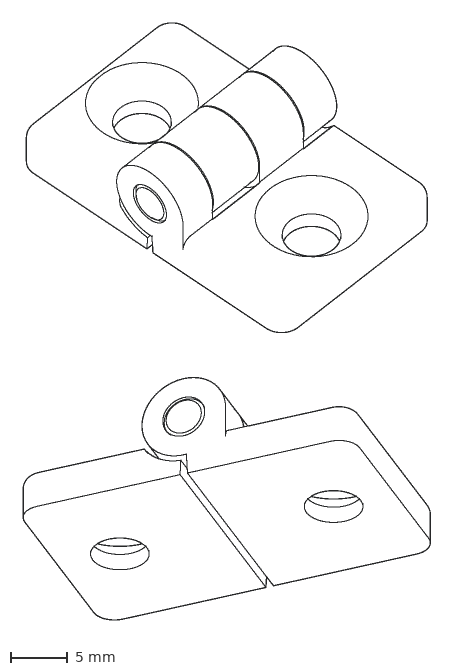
import cadquery as cq
import math

length = 32.0
width = 20.0
plate_height = 4.0
corner_radius = 2.0
top_fillet = 1.0

barrel_radius = 4.0
axis_height = 1.5 * barrel_radius
clearance_radius = 4.5
pin_radius = barrel_radius / 2
pin_chamfer = 0.32

slit_half_bottom = 0.35
slit_half_top = 0.25
slit_top = axis_height - math.sqrt(barrel_radius**2 - slit_half_top**2)

knuckle_gap = 0.13
joints = [-6.1, -0.1, 5.7]
knuckle_bounds = [-width / 2, *joints, width / 2]

hole_offset = 10.2
hole_diameter = 5.2
sink_diameter = 10.0
sink_depth = (sink_diameter - hole_diameter) / 2


def along_y(sketch, y_start, y_end):
    """Extrude an XZ profile from y_start to y_end."""
    return sketch.extrude(-(y_end - y_start)).translate((0, y_start, 0))


def axis_cylinder(radius, y_start, y_end):
    circle = cq.Workplane("XZ").center(0, axis_height).circle(radius)
    return along_y(circle, y_start, y_end)


def make_plate():
    """Rounded plate on the +X side, cut off along the slit."""
    plate = (
        cq.Workplane("XY")
        .box(length, width, plate_height, centered=(True, True, False))
        .edges("|Z").fillet(corner_radius)
        .faces(">Z").edges().fillet(top_fillet)
    )
    keep = (
        cq.Workplane("XZ")
        .moveTo(slit_half_bottom, 0)
        .lineTo(length, 0)
        .lineTo(length, plate_height)
        .lineTo(slit_half_top, plate_height)
        .lineTo(slit_half_top, slit_top)
        .close()
    )
    return plate.intersect(along_y(keep, -width / 2, width / 2))


def make_knuckle(y_start, y_end):
    """Barrel section with a straight +X flank running down into the plate."""
    profile = (
        cq.Workplane("XZ")
        .moveTo(slit_half_bottom, 0)
        .lineTo(barrel_radius, 0)
        .lineTo(barrel_radius, axis_height)
        .threePointArc((0, axis_height + barrel_radius), (-barrel_radius, axis_height))
        .threePointArc(
            (-barrel_radius * math.sqrt(0.5), axis_height - barrel_radius * math.sqrt(0.5)),
            (slit_half_top, slit_top),
        )
        .close()
    )
    return along_y(profile, y_start, y_end)


def cut_screw_hole(leaf):
    top = cq.Workplane("XY", origin=(hole_offset, 0, plate_height))
    drill = top.circle(hole_diameter / 2).extrude(-plate_height)
    sink = cq.Workplane(cq.Solid.makeCone(
        sink_diameter / 2, hole_diameter / 2, sink_depth,
        pnt=cq.Vector(hole_offset, 0, plate_height), dir=cq.Vector(0, 0, -1),
    ))
    return leaf.cut(drill).cut(sink)


def make_leaf(first_knuckle, mirrored):
    """Leaf with two knuckles and clearance for the other leaf's two knuckles."""
    leaf = make_plate()
    for index in range(len(joints) + 1):
        y_start = knuckle_bounds[index]
        y_end = knuckle_bounds[index + 1]
        own = index % 2 == first_knuckle
        inset = knuckle_gap / 2 if own else -knuckle_gap / 2
        if index > 0:
            y_start += inset
        if index < len(joints):
            y_end -= inset
        if own:
            leaf = leaf.union(make_knuckle(y_start, y_end))
        else:
            leaf = leaf.cut(axis_cylinder(clearance_radius, y_start, y_end))
    leaf = leaf.cut(axis_cylinder(pin_radius, -width / 2, width / 2))
    leaf = cut_screw_hole(leaf)
    return leaf.mirror("YZ") if mirrored else leaf


right_leaf = make_leaf(first_knuckle=0, mirrored=False)
left_leaf = make_leaf(first_knuckle=1, mirrored=True)
pin = axis_cylinder(pin_radius, -width / 2, width / 2).faces("<Y or >Y").chamfer(pin_chamfer)

result = cq.Compound.makeCompound([right_leaf.val(), left_leaf.val(), pin.val()])